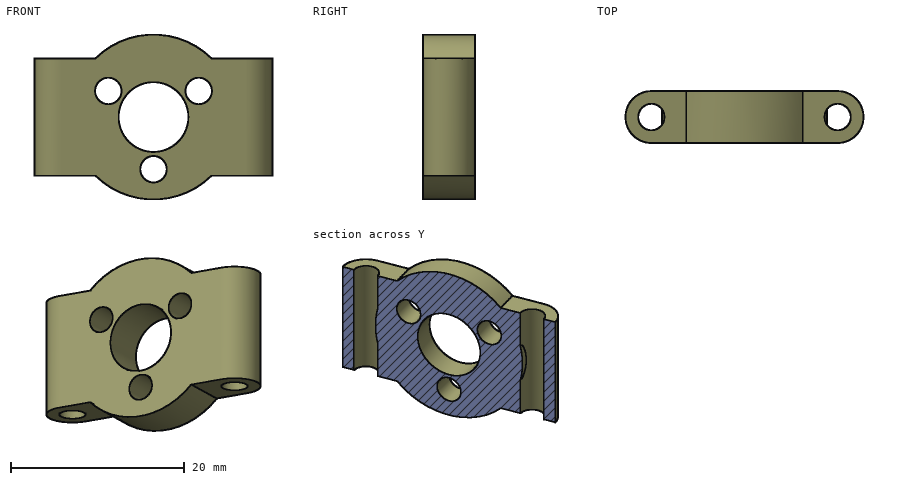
import cadquery as cq

length = 27.4
thickness = 6.0
bar_height = 13.5
disc_diameter = 19.0
bore_diameter = 8.0
small_hole_diameter = 3.01
bolt_circle_radius = 6.0
bolt_count = 3
first_bolt_angle = -90.0

ear_spacing = length - thickness


def cylinder_along_y(diameter):
    """Cylinder through the full thickness, centred on the origin."""
    return cq.Workplane("XZ").circle(diameter / 2).extrude(thickness / 2, both=True)


def make_bar():
    """Round-ended bar with a vertical hole at the centre of each end."""
    bar = cq.Workplane("XY").slot2D(length, thickness).extrude(bar_height / 2, both=True)
    ear_holes = (
        cq.Workplane("XY")
        .pushPoints([(-ear_spacing / 2, 0), (ear_spacing / 2, 0)])
        .circle(small_hole_diameter / 2)
        .extrude(bar_height / 2, both=True)
    )
    return bar.cut(ear_holes)


def make_bolt_holes():
    """Ring of bolt holes around the bore, parallel to Y."""
    return (
        cq.Workplane("XZ")
        .polarArray(bolt_circle_radius, first_bolt_angle, 360, bolt_count)
        .circle(small_hole_diameter / 2)
        .extrude(thickness / 2, both=True)
    )


body = make_bar().union(cylinder_along_y(disc_diameter))
result = body.cut(cylinder_along_y(bore_diameter)).cut(make_bolt_holes())